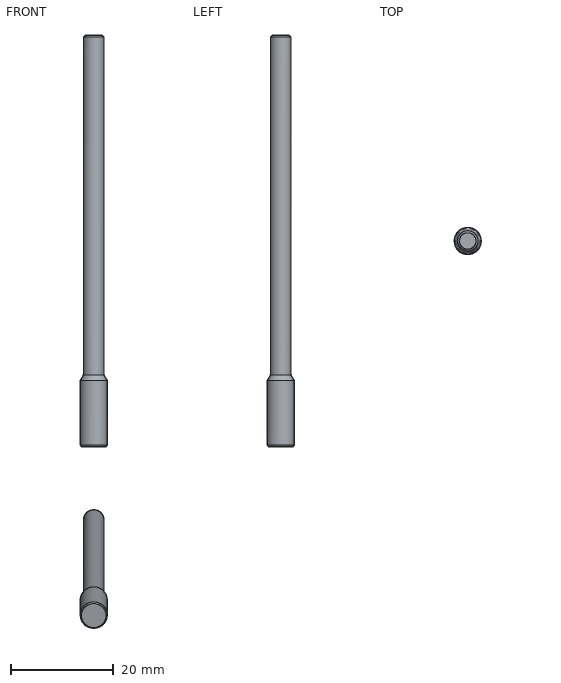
import cadquery as cq

total_length = 80.0
rod_diameter = 4.0
base_diameter = 5.3
base_length = 14.0
shoulder_height = 1.1
base_chamfer_width = 0.2
base_chamfer_height = 0.4
rod_chamfer = 0.4

rod_radius = rod_diameter / 2
base_radius = base_diameter / 2
rod_length = total_length - base_length


def make_base():
    """Thicker lower body: chamfered lower end and a conical shoulder up to the rod."""
    profile = (
        cq.Workplane("XZ")
        .moveTo(0, 0)
        .lineTo(base_radius - base_chamfer_width, 0)
        .lineTo(base_radius, base_chamfer_height)
        .lineTo(base_radius, base_length - shoulder_height)
        .lineTo(rod_radius, base_length)
        .lineTo(0, base_length)
        .close()
    )
    return profile.revolve(360, (0, 0, 0), (0, 1, 0))


def make_rod():
    """Long rod standing on the base, chamfered at its free end."""
    return (
        cq.Workplane("XY")
        .workplane(offset=base_length)
        .circle(rod_radius)
        .extrude(rod_length)
        .faces(">Z")
        .chamfer(rod_chamfer)
    )


base = make_base()
rod = make_rod()

result = cq.Compound.makeCompound([base.val(), rod.val()])